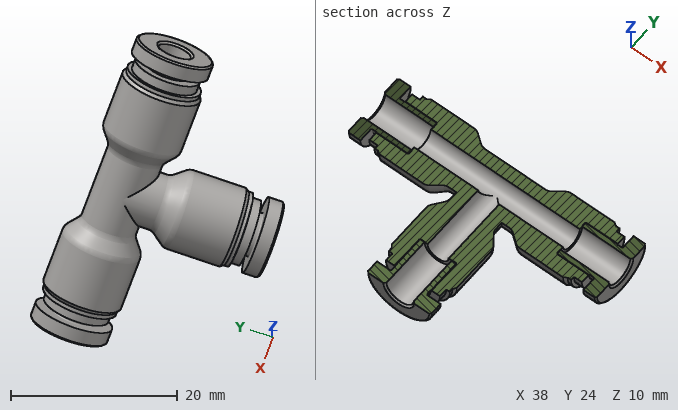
import cadquery as cq

arm_length = 19.0
arm_angles = (0, 180, 270)

cap_thickness = 1.98
cap_width = 9.75
cap_height = 8.5
cap_chamfer = 0.23
neck_diameter = 5.5
neck_fillet = 0.1
sleeve_bore_diameter = 4.15
sleeve_bore_chamfer = 0.25
sleeve_length = 7.6
cap_gap = 0.75

pipe_diameter = 7.0
barrel_diameter = 10.0
collar_diameter = 9.4
ring_diameter = 8.3
passage_diameter = 3.2

ring_length = 1.2
collar_length = 0.55
barrel_chamfer_length = 0.45
taper_start = 5.0
taper_end = 7.0
taper_fillet = 1.15

cap_back = arm_length - cap_thickness
ring_end = cap_back - cap_gap
collar_end = ring_end - ring_length
collar_start = collar_end - collar_length
barrel_end = collar_start - barrel_chamfer_length
sleeve_seat = arm_length - sleeve_length
place_tolerance = 0.005


def cylinder(diameter, start, end):
    """Round bar along +X between two places on the arm."""
    return cq.Workplane("YZ").workplane(offset=start).circle(diameter / 2).extrude(end - start)


def circles_at(shape, place):
    """All circular edges of a shape that lie at one place on the arm."""
    circles = shape.edges("%CIRCLE").vals()
    return [edge for edge in circles if abs(edge.Center().x - place) < place_tolerance]


def make_arm_outside():
    """Solid outer form of one housing arm: pipe, blended cone, barrel, collar and end ring."""
    profile = [
        (0, 0),
        (0, pipe_diameter / 2),
        (taper_start, pipe_diameter / 2),
        (taper_end, barrel_diameter / 2),
        (barrel_end, barrel_diameter / 2),
        (collar_start, collar_diameter / 2),
        (collar_end, collar_diameter / 2),
        (collar_end, ring_diameter / 2),
        (ring_end, ring_diameter / 2),
        (ring_end, 0),
    ]
    arm = cq.Workplane("XY").polyline(profile).close().revolve(360, (0, 0, 0), (1, 0, 0))
    taper_edges = circles_at(arm, taper_start) + circles_at(arm, taper_end)
    return arm.newObject(taper_edges).fillet(taper_fillet)


def make_arm_inside():
    """Hollow of one housing arm: the flow passage and the socket that holds the sleeve."""
    passage = cylinder(passage_diameter, 0, ring_end)
    socket = cylinder(neck_diameter, sleeve_seat, ring_end)
    return passage.union(socket)


def point_along(arm, angle):
    """Turn a shape built along +X to the direction of one arm."""
    return arm.rotate((0, 0, 0), (0, 0, 1), angle)


def make_housing():
    """Tee housing: the outer forms of the arms joined, then their hollows removed."""
    housing = cq.Workplane("XY")
    for angle in arm_angles:
        housing = housing.union(point_along(make_arm_outside(), angle))
    for angle in arm_angles:
        housing = housing.cut(point_along(make_arm_inside(), angle))
    return housing


def make_sleeve():
    """Release sleeve along +X: elliptical cap on a round neck, bored through."""
    cap = (
        cq.Workplane("YZ")
        .workplane(offset=cap_back)
        .ellipse(cap_width / 2, cap_height / 2)
        .extrude(cap_thickness)
        .faces(">X")
        .chamfer(cap_chamfer)
    )
    sleeve = cap.union(cylinder(neck_diameter, sleeve_seat, cap_back))
    sleeve = sleeve.newObject(circles_at(sleeve, cap_back)).fillet(neck_fillet)
    sleeve = sleeve.cut(cylinder(sleeve_bore_diameter, sleeve_seat, arm_length))
    return sleeve.faces(">X").edges("%CIRCLE").chamfer(sleeve_bore_chamfer)


housing = make_housing()
sleeves = [point_along(make_sleeve(), angle) for angle in arm_angles]

result = cq.Compound.makeCompound([housing.val(), *[sleeve.val() for sleeve in sleeves]])